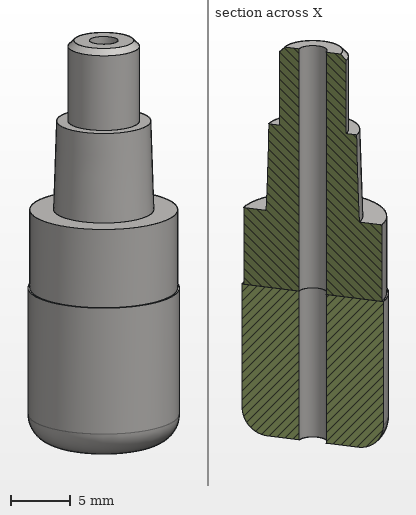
import cadquery as cq

total_height = 34.74
cap_height = 13.24
shoulder_height = 20.04
taper_top_height = 27.75

cap_radius = 12.7 / 2
cap_edge_radius = 2.3
collar_radius = 12.4 / 2
taper_base_radius = 8.4 / 2
taper_top_radius = 7.9 / 2
tip_radius = 6.0 / 2
bore_radius = 2.4 / 2

tip_bevel = 0.5

base_z = -total_height / 2
joint_z = base_z + cap_height
shoulder_z = base_z + shoulder_height
taper_top_z = base_z + taper_top_height
tip_z = base_z + total_height


def make_cap():
    """Bored cylinder with a rounded lower edge."""
    cap = cq.Workplane("XY", origin=(0, 0, base_z)).circle(cap_radius).extrude(cap_height)
    cap = cap.faces("<Z").edges().fillet(cap_edge_radius)
    return cap.faces(">Z").workplane().hole(2 * bore_radius)


def make_stem():
    """Collar, tapered neck and bevelled tip turned as one bored piece."""
    profile = (
        cq.Workplane("XZ")
        .moveTo(bore_radius, joint_z)
        .lineTo(collar_radius, joint_z)
        .lineTo(collar_radius, shoulder_z)
        .lineTo(taper_base_radius, shoulder_z)
        .lineTo(taper_top_radius, taper_top_z)
        .lineTo(tip_radius, taper_top_z)
        .lineTo(tip_radius, tip_z - tip_bevel)
        .lineTo(tip_radius - tip_bevel, tip_z)
        .lineTo(bore_radius, tip_z)
        .close()
    )
    return profile.revolve(360, (0, 0, 0), (0, 1, 0))


cap = make_cap()
stem = make_stem()
result = cq.Compound.makeCompound([cap.val(), stem.val()])